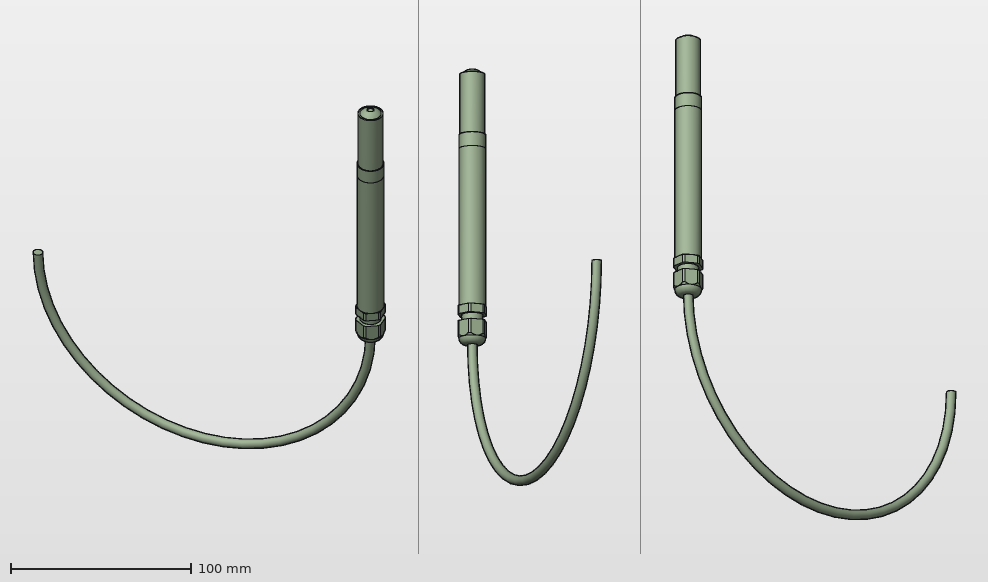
import cadquery as cq
import math

TUBE_DIA = 15.0
HEAD_DIA = 14.0
DOME_DIA = 12.0
DOME_HOLE_DIA = 4.0
DOME_HOLE_DEPTH = 0.8
NECK_DIA = 12.0
CABLE_DIA = 5.5
BEND_RADIUS = 100.0

HEX_FLATS = 15.0
HEX_CORNER_DIA = 16.5
NUT_CHAMFER = 1.3
NUT_ROUNDING = 4.0

TOP_Z = 258.3
DOME_BASE_Z = 255.7
COLLAR_TOP_Z = 221.0
COLLAR_BOTTOM_Z = 213.0
TUBE_BOTTOM_Z = 123.0
BASE_HEX_BOTTOM_Z = 118.0
NUT_TOP_Z = 114.2
NUT_BOTTOM_Z = 101.0

CABLE_END_Z = BEND_RADIUS + CABLE_DIA / 2


def cylinder(diameter, bottom_z, top_z):
    """Cylinder on the Z axis between two levels."""
    return cq.Workplane("XY").workplane(offset=bottom_z).circle(diameter / 2).extrude(top_z - bottom_z)


def hex_prism(bottom_z, top_z):
    """Hexagon with flats facing +X and -X and turned-down corners."""
    hexagon = (
        cq.Workplane("XY", origin=(0, 0, bottom_z))
        .transformed(rotate=(0, 0, 30))
        .polygon(6, HEX_FLATS / math.cos(math.pi / 6))
        .extrude(top_z - bottom_z)
    )
    return hexagon.intersect(cylinder(HEX_CORNER_DIA, bottom_z, top_z))


def make_head():
    """Sensor head: collar, rod and a spherical dome with a shallow hole in its crown."""
    base_radius = DOME_DIA / 2
    hole_radius = DOME_HOLE_DIA / 2
    dome_height = TOP_Z - DOME_BASE_Z
    centre_depth = (base_radius**2 - hole_radius**2 - dome_height**2) / (2 * dome_height)
    sphere_radius = math.hypot(base_radius, centre_depth)
    sphere = cq.Workplane("XY", origin=(0, 0, DOME_BASE_Z - centre_depth)).sphere(sphere_radius)
    dome = sphere.intersect(cylinder(DOME_DIA, DOME_BASE_Z, TOP_Z))
    collar = cylinder(TUBE_DIA, COLLAR_BOTTOM_Z, COLLAR_TOP_Z)
    rod = cylinder(HEAD_DIA, COLLAR_TOP_Z, DOME_BASE_Z)
    hole = cylinder(DOME_HOLE_DIA, TOP_Z - DOME_HOLE_DEPTH, TOP_Z)
    return collar.union(rod).union(dome).cut(hole)


def make_tube():
    """Plain body between the head and the cable gland."""
    return cylinder(TUBE_DIA, TUBE_BOTTOM_Z, COLLAR_BOTTOM_Z)


def make_nut():
    """Gland nut: a hexagon with chamfered corners above a quarter-round end."""
    hex_radius = HEX_CORNER_DIA / 2
    end_radius = TUBE_DIA / 2
    round_top_z = NUT_BOTTOM_Z + NUT_ROUNDING
    diagonal = NUT_ROUNDING * math.sqrt(0.5)
    envelope = (
        cq.Workplane("XZ")
        .moveTo(0, NUT_TOP_Z)
        .lineTo(hex_radius, NUT_TOP_Z)
        .lineTo(hex_radius, round_top_z + NUT_CHAMFER)
        .lineTo(end_radius, round_top_z)
        .threePointArc(
            (end_radius - NUT_ROUNDING + diagonal, round_top_z - diagonal),
            (end_radius - NUT_ROUNDING, NUT_BOTTOM_Z),
        )
        .lineTo(0, NUT_BOTTOM_Z)
        .close()
        .revolve(360, (0, 0, 0), (0, 1, 0))
    )
    return hex_prism(NUT_BOTTOM_Z, NUT_TOP_Z).intersect(envelope)


def make_cable():
    """Half-circle of round cable, hanging below the gland toward -X."""
    path = (
        cq.Workplane("XZ", origin=(0, 0, CABLE_END_Z))
        .threePointArc((-BEND_RADIUS, -BEND_RADIUS), (-2 * BEND_RADIUS, 0))
    )
    return cq.Workplane("XY", origin=(0, 0, CABLE_END_Z)).circle(CABLE_DIA / 2).sweep(path)


def make_gland(cable):
    """Cable gland: base hexagon, neck and nut, recessed for the cable end."""
    base = hex_prism(BASE_HEX_BOTTOM_Z, TUBE_BOTTOM_Z)
    neck = cylinder(NECK_DIA, NUT_TOP_Z, BASE_HEX_BOTTOM_Z)
    return base.union(neck).union(make_nut()).cut(cable)


head = make_head()
tube = make_tube()
cable = make_cable()
gland = make_gland(cable)

result = cq.Compound.makeCompound([head.val(), tube.val(), gland.val(), cable.val()])